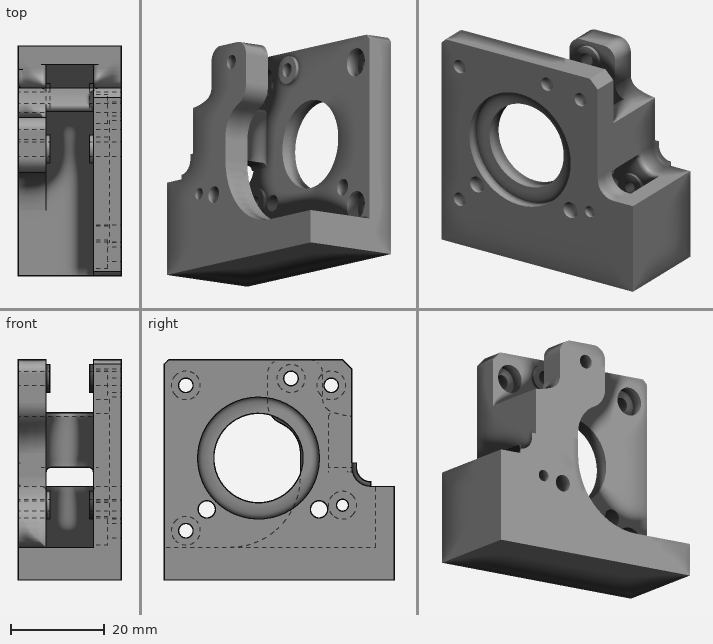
import cadquery as cq
import math

length = 49.0
width = 22.0
height = 47.0
wall = 6.0
right_wall_x = width - wall
channel_width = width - 2 * wall
floor_top = 7.0

rear_y = 40.0
ledge_z = 20.0
channel_end_y = 45.0
step_radius = 4.0
step_y = rear_y + step_radius
step_z = ledge_z + step_radius
edge_radius = 1.0
corner_cut_rear = 2.0
corner_cut_front = 1.0

arm_front_y = 22.0
arm_rear_y = 33.75
arm_top_radius = 3.0
neck_radius = 4.65
shoulder_z = 34.9
shoulder_mid = (37.98, 35.2)
shoulder_end = (35.65, 35.85)
arm_rear_low_z = 38.25
opening_y = 29.0
opening_high_z = 27.0
opening_radius = 15.0

bridge_front_y = 35.0
bridge_front_z = 36.05

bore_y = 20.1
bore_z = 26.0
bore_diameter = 19.0
bore_depth = 3.5
bore_recess_diameter = 25.95
screw_offset = 15.5
screw_diameter = 3.05
counterbore_diameter = 6.12
counterbore_depth = 3.0
dowel_center_y = 21.0
dowel_offset_y = 11.95
dowel_z = 15.1
dowel_diameter = 3.65
upper_pivot = (27.0, 42.95)
upper_pivot_diameter = 3.05
lower_pivot = (37.98, 15.95)
lower_pivot_diameter = 2.5
boss_diameter = 6.0
boss_height = 0.8


def side_plane(x):
    """Sketch plane facing +X whose local axes are Y and Z."""
    return cq.Workplane("YZ", origin=(x, 0, 0))


def point_on_circle(center, radius, degrees):
    """Point of a circle at an angle from +Y towards +Z."""
    angle = math.radians(degrees)
    return (center[0] + radius * math.cos(angle), center[1] + radius * math.sin(angle))


def rear_step(sketch):
    """Draw the bottom, the rear ledge and the blend up to the rear face."""
    return (
        sketch.lineTo(length, 0)
        .lineTo(length, ledge_z)
        .lineTo(step_y, ledge_z)
        .threePointArc(point_on_circle((step_y, step_z), step_radius, 225), (rear_y, step_z))
    )


def shoulder(sketch):
    """Draw the shoulder from the rear face to the foot of the arm."""
    return sketch.lineTo(rear_y, shoulder_z).threePointArc(shoulder_mid, shoulder_end)


def left_wall():
    """Wall with the rounded arm at the top and the curved opening at the front."""
    opening_center = (opening_y - opening_radius, floor_top + opening_radius)
    rear_center = (arm_rear_y - arm_top_radius, height - arm_top_radius)
    front_center = (arm_front_y + arm_top_radius, height - arm_top_radius)

    upper_radius = opening_y - arm_front_y
    upper_center = (arm_front_y, opening_high_z)
    neck_rise = math.sqrt((upper_radius + neck_radius) ** 2 - neck_radius**2)
    neck_center = (arm_front_y + neck_radius, opening_high_z + neck_rise)
    neck_angle = math.degrees(math.atan2(neck_rise, neck_radius))
    neck_end = point_on_circle(upper_center, upper_radius, neck_angle)

    sketch = shoulder(rear_step(side_plane(0).moveTo(0, 0)))
    return (
        sketch.tangentArcPoint((arm_rear_y, arm_rear_low_z), relative=False)
        .lineTo(arm_rear_y, rear_center[1])
        .threePointArc(point_on_circle(rear_center, arm_top_radius, 45), (rear_center[0], height))
        .lineTo(front_center[0], height)
        .threePointArc(
            point_on_circle(front_center, arm_top_radius, 135), (arm_front_y, front_center[1])
        )
        .lineTo(arm_front_y, neck_center[1])
        .tangentArcPoint(neck_end, relative=False)
        .tangentArcPoint((opening_y, opening_high_z), relative=False)
        .lineTo(opening_y, opening_center[1])
        .threePointArc(
            point_on_circle(opening_center, opening_radius, -45), (opening_center[0], floor_top)
        )
        .lineTo(0, floor_top)
        .close()
        .extrude(wall)
    )


def right_wall():
    """Full-height wall with two cut corners."""
    return (
        rear_step(side_plane(right_wall_x).moveTo(0, 0))
        .lineTo(rear_y, height - corner_cut_rear)
        .lineTo(rear_y - corner_cut_rear, height)
        .lineTo(corner_cut_front, height)
        .lineTo(0, height - corner_cut_front)
        .close()
        .extrude(wall)
    )


def base():
    """Channel floor and the low block that closes the channel at the rear."""
    return (
        side_plane(wall)
        .polyline([
            (0, 0),
            (length, 0),
            (length, ledge_z),
            (channel_end_y, ledge_z),
            (channel_end_y, floor_top),
            (0, floor_top),
        ])
        .close()
        .extrude(channel_width)
    )


def bridge():
    """Web joining the walls, rounded along its upper front edge."""
    return (
        shoulder(side_plane(wall).moveTo(rear_y, step_z))
        .lineTo(bridge_front_y, bridge_front_z)
        .lineTo(bridge_front_y, step_z)
        .close()
        .extrude(channel_width)
        .edges("|X and <Y and >Z")
        .fillet(edge_radius)
    )


def corner_fillet(plane, corner, x_side, other_side):
    """Sketch the area between a square corner and the quarter round inside it.

    The sides give the directions (+1 or -1) of the two legs of the corner along
    the local axes of the plane; the first one is always X.
    """
    corner_x, corner_other = corner
    sag = edge_radius * (1 - math.sqrt(0.5))
    return (
        plane.moveTo(corner_x, corner_other)
        .lineTo(corner_x + x_side * edge_radius, corner_other)
        .threePointArc(
            (corner_x + x_side * sag, corner_other + other_side * sag),
            (corner_x, corner_other + other_side * edge_radius),
        )
        .close()
    )


def blend_section(x_edge, x_side, y_side):
    """Corner area at the upper end of the rear blend, in a level plane."""
    plane = cq.Workplane("XY", origin=(0, 0, step_z))
    return corner_fillet(plane, (x_edge, rear_y), x_side, y_side)


def around_blend(section):
    """Carry a section down the quarter turn of the rear blend."""
    return section.revolve(90, (0, step_y, 0), (1, step_y, 0))


def channel_edge_round(x_edge, x_side):
    """Material removed to round one upper rear edge of the channel."""
    turn = around_blend(blend_section(x_edge, x_side, -1))
    ledge_plane = cq.Workplane("XZ", origin=(0, step_y, 0))
    ledge = corner_fillet(ledge_plane, (x_edge, ledge_z), x_side, -1)
    return turn.union(ledge.extrude(step_y - channel_end_y))


def outer_flare():
    """Raised lip along the outer edge of the left blend."""
    turn = around_blend(blend_section(0, 1, 1))
    upper_end = blend_section(0, 1, 1).extrude(edge_radius)
    return turn.union(upper_end)


def bridge_corner_blend(x_edge, x_side):
    """Concave blend between the underside of the bridge and a wall."""
    plane = cq.Workplane("XZ", origin=(0, bridge_front_y, 0))
    section = corner_fillet(plane, (x_edge, step_z), x_side, -1)
    return section.extrude(bridge_front_y - rear_y)


def cylinder(x_start, center, diameter, depth):
    """Cylinder along +X centred at a (Y, Z) point."""
    return side_plane(x_start).center(*center).circle(diameter / 2).extrude(depth)


def add_bosses(body):
    for center in (upper_pivot, lower_pivot):
        for x_start in (wall, right_wall_x - boss_height):
            body = body.union(cylinder(x_start, center, boss_diameter, boss_height))
    return body


def cut_holes(body):
    rear_dowel = (dowel_center_y + dowel_offset_y, dowel_z)
    front_dowel = (dowel_center_y - dowel_offset_y, dowel_z)
    through_holes = [
        (upper_pivot, upper_pivot_diameter),
        (lower_pivot, lower_pivot_diameter),
        (rear_dowel, dowel_diameter),
    ]
    for center, diameter in through_holes:
        body = body.cut(cylinder(0, center, diameter, width))

    body = body.cut(cylinder(right_wall_x, front_dowel, dowel_diameter, wall))

    bore_center = (bore_y, bore_z)
    recess_x = right_wall_x + bore_depth
    body = body.cut(cylinder(right_wall_x, bore_center, bore_diameter, wall))
    body = body.cut(cylinder(recess_x, bore_center, bore_recess_diameter, wall - bore_depth))

    for side_y, side_z in ((-1, -1), (-1, 1), (1, 1)):
        center = (bore_y + side_y * screw_offset, bore_z + side_z * screw_offset)
        body = body.cut(cylinder(right_wall_x, center, screw_diameter, wall))
        body = body.cut(
            cylinder(right_wall_x, center, counterbore_diameter, counterbore_depth)
        )
    return body


body = left_wall().union(right_wall()).union(base()).union(bridge())
for x_edge, toward_wall in ((wall, -1), (right_wall_x, 1)):
    body = body.cut(channel_edge_round(x_edge, toward_wall))
    body = body.union(bridge_corner_blend(x_edge, -toward_wall))
body = body.union(outer_flare())
result = cut_holes(add_bosses(body))